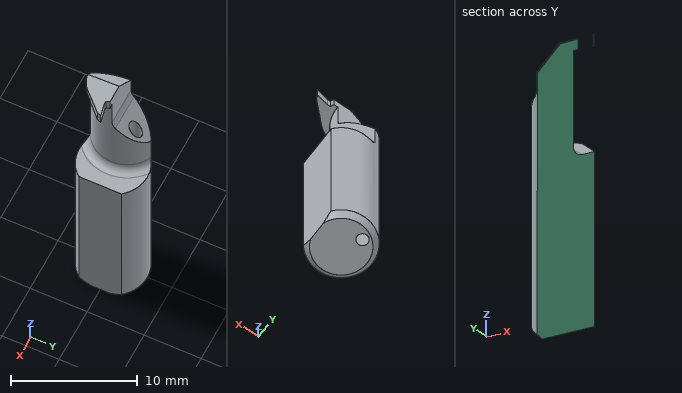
import cadquery as cq
import math

shank_radius = 3.0
flat_x = 2.35
shank_length = 15.0
total_length = 25.0
end_chamfer = 0.5

neck_right_x = 0.41
neck_radius = 2.93
neck_axis_x = neck_right_x - neck_radius
base_fillet = 0.75
head_fillet = 0.2

hole_diameter = 1.05
hole_x = -1.0
hole_y = 1.48

chip_face_y = 0.1
chip_floor_y = 2.69
chip_floor_z = 18.05
chip_slope_angle = 49.0
chip_runout_radius = 1.1

tip_x = 2.3
tip_y = 0.03
tip_thickness = 1.0
ridge_x = -0.86
top_fall_x = 0.03
clearance_slope = 0.05
underside_slope = 0.065
bevel_slope = 0.955
flank_start = (0.5, -2.0)
heel_radius = 2.4
tip_land_start = (2.18, -0.32)
rake_start_x = 1.2
groove_y = -0.2
groove_start_x = 0.92
groove_end_x = 0.78

underside_z = total_length - tip_thickness
quarter_bulge = 1 - math.sqrt(0.5)
reach = 4 * shank_radius


def half_space(point, normal):
    """Large block filling the side of a plane that the normal points to."""
    in_plane = (0, -normal[2], normal[1])
    plane = cq.Plane(origin=point, xDir=in_plane, normal=normal)
    return cq.Workplane(plane).rect(2 * reach, 2 * reach).extrude(reach)


def make_bar(length):
    return cq.Workplane("XY").circle(shank_radius).extrude(length)


def make_shank():
    return make_bar(shank_length).faces("<Z").chamfer(end_chamfer)


def make_neck():
    """Offset cylinder with a fillet at its base, trimmed to the bar's round outline."""
    filleted = (
        cq.Workplane("XZ")
        .moveTo(0, shank_length)
        .lineTo(neck_radius + base_fillet, shank_length)
        .threePointArc(
            (neck_radius + quarter_bulge * base_fillet, shank_length + quarter_bulge * base_fillet),
            (neck_radius, shank_length + base_fillet),
        )
        .lineTo(neck_radius, total_length)
        .lineTo(0, total_length)
        .close()
        .revolve(360, (0, 0, 0), (0, 1, 0))
        .translate((neck_axis_x, 0, 0))
    )
    return filleted.intersect(make_bar(total_length))


def make_head_outline():
    """Tall prism with a round heel, a 45 degree flank and a grooved rake face."""
    heel_axis_x = flank_start[0] - heel_radius * math.sqrt(0.5)
    heel_axis_y = flank_start[1] + heel_radius * math.sqrt(0.5)
    heel_left = heel_axis_x - heel_radius
    outline = (
        cq.Workplane("XY", origin=(0, 0, shank_length))
        .moveTo(heel_left, heel_axis_y)
        .threePointArc((heel_axis_x, heel_axis_y - heel_radius), flank_start)
        .lineTo(*tip_land_start)
        .lineTo(tip_x, tip_y)
        .lineTo(rake_start_x, groove_y)
        .lineTo(groove_start_x, groove_y)
        .lineTo(groove_end_x, chip_face_y)
        .lineTo(heel_left, chip_face_y)
        .close()
        .extrude(total_length - shank_length)
    )
    return outline.intersect(make_bar(total_length))


def make_head_fillet():
    """Fillet ring that widens the neck where it meets the underside of the head."""
    top_z = underside_z + head_fillet
    return (
        cq.Workplane("XZ")
        .moveTo(0, underside_z)
        .lineTo(neck_radius, underside_z)
        .threePointArc(
            (neck_radius + quarter_bulge * head_fillet, top_z - quarter_bulge * head_fillet),
            (neck_radius + head_fillet, top_z),
        )
        .lineTo(0, top_z)
        .close()
        .revolve(360, (0, 0, 0), (0, 1, 0))
        .translate((neck_axis_x, 0, 0))
    )


def make_head():
    """Head above the sloping underside, with the fillet to the neck below it."""
    outline = make_head_outline()
    below_head = half_space((tip_x, tip_y, underside_z), (0, -underside_slope, -1))
    return outline.cut(below_head).union(outline.intersect(make_head_fillet()))


def make_chip_space():
    """Everything behind the chip face, the run-out arc and the slope below it."""
    angle = math.radians(chip_slope_angle)
    turn = math.pi / 2 - angle
    arc_end_y = chip_face_y + chip_runout_radius * (1 - math.cos(turn))
    arc_end_z = chip_floor_z + (chip_floor_y - arc_end_y) * math.tan(angle)
    arc_start_z = arc_end_z + chip_runout_radius * math.sin(turn)
    arc_mid = (
        chip_face_y + chip_runout_radius * (1 - math.cos(turn / 2)),
        arc_start_z - chip_runout_radius * math.sin(turn / 2),
    )
    far_y = shank_radius
    far_z = chip_floor_z - (far_y - chip_floor_y) * math.tan(angle)
    return (
        cq.Workplane("YZ")
        .moveTo(chip_face_y, total_length)
        .lineTo(chip_face_y, arc_start_z)
        .threePointArc(arc_mid, (arc_end_y, arc_end_z))
        .lineTo(far_y, far_z)
        .lineTo(far_y, total_length)
        .close()
        .extrude(reach, both=True)
    )


ridge_z = total_length - top_fall_x * (tip_x - ridge_x)
ridge = (ridge_x, chip_face_y, ridge_z)
top_clearance = half_space(ridge, (-top_fall_x, -clearance_slope, 1))
bevel = half_space(ridge, (-bevel_slope, -clearance_slope, 1))
flat = cq.Workplane("YZ", origin=(flat_x, 0, 0)).rect(reach, 2 * total_length).extrude(reach)
hole = cq.Workplane("XY").center(hole_x, hole_y).circle(hole_diameter / 2).extrude(total_length)

result = make_shank().union(make_neck()).union(make_head())
for tool in (make_chip_space(), top_clearance, bevel, flat, hole):
    result = result.cut(tool)